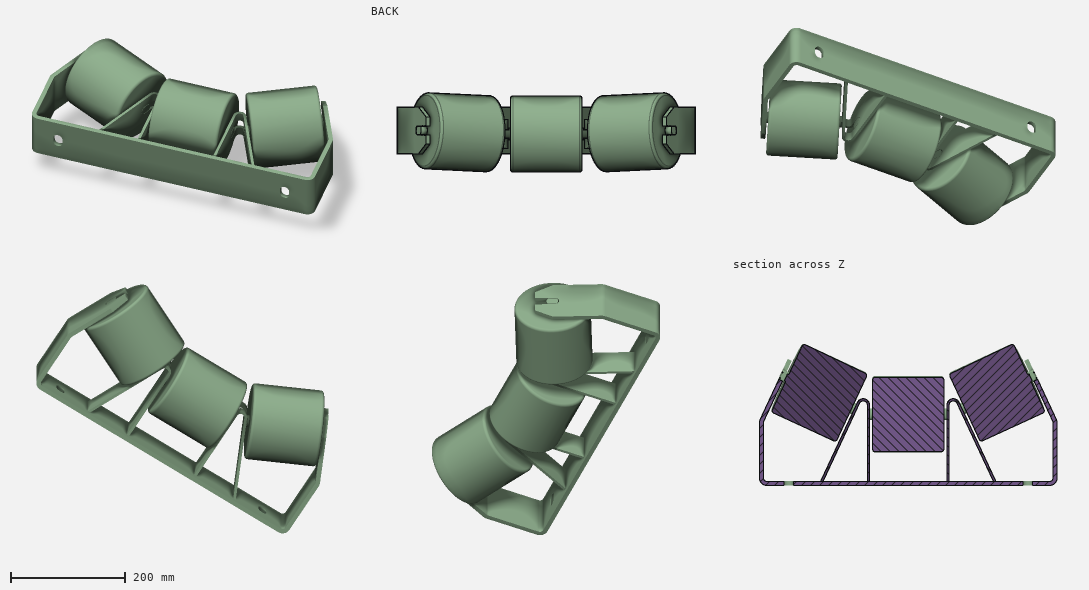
import cadquery as cq
import math

FRAME_LENGTH = 520.0
FRAME_HEIGHT = 81.5
FRAME_THICKNESS = 8.0
FRAME_BEND_RADIUS = 14.0
ARM_BEND_Y = 109.5
LEAN = 25.0
LEANING_ARM_LENGTH = 116.0
TIP_CHAMFER_LENGTH = 31.0
TIP_CHAMFER_HEIGHT = 17.0
MOUNTING_SLOT_X = 208.5
MOUNTING_SLOT_WIDTH = 16.5
MOUNTING_SLOT_HEIGHT = 25.5

BRACKET_X = 67.0
BRACKET_HEIGHT = 50.0
BRACKET_THICKNESS = 4.5
BRACKET_BEND_RADIUS = 11.5
BRACKET_BEND_Y = 141.0

ROLLER_DIAMETER = 133.0
ROLLER_LENGTH = 125.0
ROLLER_EDGE_RADIUS = 4.5
SPINDLE_DIAMETER = 20.5
SPINDLE_FLATS = 14.0
SPINDLE_COLLAR = 2.5
MIDDLE_ROLLER_Y = 124.5
MIDDLE_ROLLER_Z = -6.0
SIDE_ROLLER_TILT = 2.5
SIDE_SPINDLE_TO_TIP = 30.0
SIDE_ROLLER_TO_ARM = 4.0

SPINDLE_SLOT_WIDTH = 16.0
SPINDLE_SLOT_SETBACK = 3.9

MIDDLE_STUB = BRACKET_X + BRACKET_THICKNESS - ROLLER_LENGTH / 2
ARM_STUB = SIDE_ROLLER_TO_ARM + FRAME_THICKNESS
BEND_X = FRAME_LENGTH / 2 - FRAME_BEND_RADIUS


def direction(angle):
    return cq.Vector(math.cos(math.radians(angle)), math.sin(math.radians(angle)))


def on_arc(center, radius, angle):
    return (center + direction(angle) * radius).toTuple()[:2]


def add_arc(outline, center, radius, start, end):
    """Continue an outline to the start of an arc and along it to its end."""
    outline = outline.lineTo(*on_arc(center, radius, start))
    return outline.threePointArc(on_arc(center, radius, (start + end) / 2), on_arc(center, radius, end))


def spindle_slot(spindle_point, facing, along, depth):
    """Cutter for an open slot, starting on the strip face that looks in the direction `facing`."""
    plane = cq.Plane(origin=spindle_point, xDir=along, normal=facing * -1)
    half = SPINDLE_SLOT_WIDTH / 2
    open_end = LEANING_ARM_LENGTH
    return (
        cq.Workplane(plane)
        .moveTo(-SPINDLE_SLOT_SETBACK, -half)
        .lineTo(open_end, -half)
        .lineTo(open_end, half)
        .lineTo(-SPINDLE_SLOT_SETBACK, half)
        .threePointArc((-SPINDLE_SLOT_SETBACK - half, 0), (-SPINDLE_SLOT_SETBACK, -half))
        .close()
        .extrude(depth)
    )


arm_bend_center = cq.Vector(BEND_X, ARM_BEND_Y)
lean_facing = direction(LEAN)
lean_along = direction(LEAN + 90)
arm_tip = arm_bend_center + lean_facing * FRAME_BEND_RADIUS + lean_along * LEANING_ARM_LENGTH
arm_spindle_point = arm_tip - lean_along * SIDE_SPINDLE_TO_TIP


def tip_chamfers():
    """Cutters for the two sloping corners of the right arm tip."""
    plane = cq.Plane(origin=arm_tip, xDir=lean_along, normal=lean_facing * -1)
    corner = (
        cq.Workplane(plane)
        .moveTo(0, FRAME_HEIGHT / 2)
        .lineTo(-TIP_CHAMFER_LENGTH, FRAME_HEIGHT / 2)
        .lineTo(0, FRAME_HEIGHT / 2 - TIP_CHAMFER_HEIGHT)
        .close()
        .extrude(FRAME_THICKNESS)
    )
    return corner.union(corner.mirror("XY"))


def make_frame():
    outer = FRAME_BEND_RADIUS
    inner = FRAME_BEND_RADIUS - FRAME_THICKNESS
    corner_center = cq.Vector(BEND_X, FRAME_BEND_RADIUS)
    outline = cq.Workplane("XY").moveTo(0, 0)
    outline = add_arc(outline, corner_center, outer, -90, 0)
    outline = add_arc(outline, arm_bend_center, outer, 0, LEAN)
    outline = outline.lineTo(arm_tip.x, arm_tip.y)
    inner_tip = arm_tip - lean_facing * FRAME_THICKNESS
    outline = outline.lineTo(inner_tip.x, inner_tip.y)
    outline = add_arc(outline, arm_bend_center, inner, LEAN, 0)
    outline = add_arc(outline, corner_center, inner, 0, -90)
    half = outline.lineTo(0, FRAME_THICKNESS).close().extrude(FRAME_HEIGHT / 2, both=True)

    mounting_slot = (
        cq.Workplane("XZ")
        .center(MOUNTING_SLOT_X, 0)
        .slot2D(MOUNTING_SLOT_HEIGHT, MOUNTING_SLOT_WIDTH, 90)
        .extrude(-FRAME_THICKNESS)
    )
    arm_slot = spindle_slot(arm_spindle_point, lean_facing, lean_along, FRAME_THICKNESS)
    half = half.cut(tip_chamfers()).cut(arm_slot).cut(mounting_slot)
    return half.union(half.mirror("YZ"))


tilt = math.radians(SIDE_ROLLER_TILT)
side_axis = lean_facing * math.cos(tilt) + cq.Vector(0, 0, math.sin(tilt))
side_roller_center = arm_spindle_point - side_axis * (ROLLER_LENGTH / 2 + ARM_STUB)

bracket_bend_center = cq.Vector(BRACKET_X + BRACKET_BEND_RADIUS, BRACKET_BEND_Y)
leg_point = bracket_bend_center + lean_facing * BRACKET_BEND_RADIUS
leg_stub = (side_roller_center - leg_point).dot(lean_facing) + BRACKET_THICKNESS - ROLLER_LENGTH / 2


def make_bracket():
    """Right bracket: a straight leg by the middle roller and a leaning leg by the side roller."""
    outer = BRACKET_BEND_RADIUS
    inner = BRACKET_BEND_RADIUS - BRACKET_THICKNESS

    def foot_x(radius):
        """X where a face of the leaning leg meets the frame."""
        start = bracket_bend_center + lean_facing * radius
        return start.x + (start.y - FRAME_THICKNESS) * math.tan(math.radians(LEAN))

    outline = cq.Workplane("XY").moveTo(BRACKET_X, FRAME_THICKNESS)
    outline = add_arc(outline, bracket_bend_center, outer, 180, LEAN)
    outline = outline.lineTo(foot_x(outer), FRAME_THICKNESS).lineTo(foot_x(inner), FRAME_THICKNESS)
    outline = add_arc(outline, bracket_bend_center, inner, LEAN, 180)
    outline = outline.lineTo(BRACKET_X + BRACKET_THICKNESS, FRAME_THICKNESS).close()
    body = outline.extrude(BRACKET_HEIGHT / 2, both=True).translate((0, 0, MIDDLE_ROLLER_Z))

    straight_point = cq.Vector(BRACKET_X, MIDDLE_ROLLER_Y, MIDDLE_ROLLER_Z)
    straight_slot = spindle_slot(straight_point, cq.Vector(-1, 0, 0), cq.Vector(0, 1, 0), outer)
    spindle_drop = (side_roller_center - leg_point).dot(lean_along)
    leaning_point = leg_point + lean_along * spindle_drop + cq.Vector(0, 0, MIDDLE_ROLLER_Z)
    leaning_slot = spindle_slot(leaning_point, lean_facing, lean_along, outer)
    return body.cut(straight_slot).cut(leaning_slot)


def make_roller(left_stub, right_stub):
    """Roller along X, centered on the origin, with its spindle flats facing up and down."""
    half_length = ROLLER_LENGTH / 2
    left_end = -half_length - left_stub
    spindle_length = half_length + right_stub - left_end
    drum = cq.Workplane("YZ", origin=(-half_length, 0, 0))
    drum = drum.circle(ROLLER_DIAMETER / 2).extrude(ROLLER_LENGTH)
    drum = drum.edges("%CIRCLE").fillet(ROLLER_EDGE_RADIUS)

    spindle = cq.Workplane("YZ", origin=(left_end, 0, 0))
    spindle = spindle.circle(SPINDLE_DIAMETER / 2).extrude(spindle_length)
    flats = cq.Workplane("YZ", origin=(left_end, 0, 0))
    flats = flats.rect(SPINDLE_DIAMETER, SPINDLE_FLATS).extrude(spindle_length)
    round_length = ROLLER_LENGTH + 2 * SPINDLE_COLLAR
    round_part = cq.Workplane("XY").box(round_length, SPINDLE_DIAMETER, SPINDLE_DIAMETER)
    return drum.union(spindle.intersect(flats.union(round_part)))


frame = make_frame()

right_bracket = make_bracket()
brackets = [right_bracket, right_bracket.mirror("YZ")]

middle_roller = make_roller(MIDDLE_STUB, MIDDLE_STUB).translate((0, MIDDLE_ROLLER_Y, MIDDLE_ROLLER_Z))
right_roller = (
    make_roller(leg_stub, ARM_STUB)
    .rotate((0, 0, 0), (0, 1, 0), -SIDE_ROLLER_TILT)
    .rotate((0, 0, 0), (0, 0, 1), LEAN)
    .translate(side_roller_center)
)
rollers = [middle_roller, right_roller, right_roller.mirror("YZ")]

bodies = [frame, *brackets, *rollers]
result = cq.Compound.makeCompound([body.val() for body in bodies])